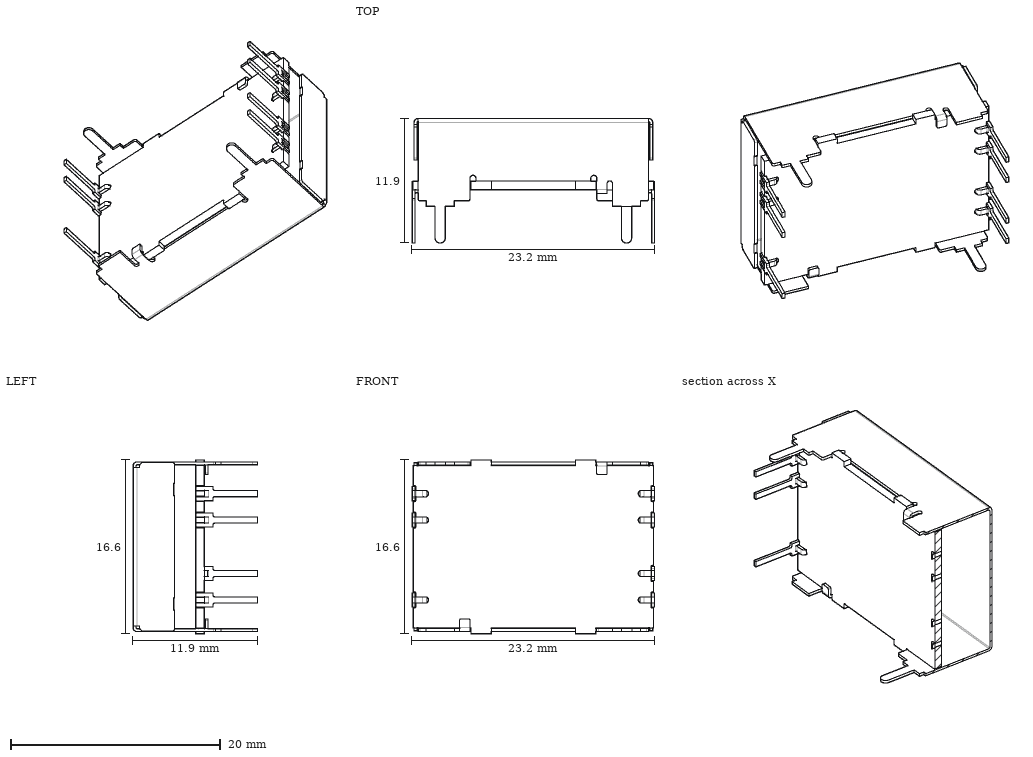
import cadquery as cq


sheet = 0.3
inner_bend = 0.1
outer_bend = inner_bend + sheet

shell_back = 11.9
shell_height = 16.21
top_wall_z = (shell_height / 2 - sheet, shell_height / 2)
wall_width = 22.0
flap_span = 22.8
flap_height = 16.05
flap_front = 7.92
flap_bend_height = 15.15
flap_bend_front = 11.3
flap_front_radius = 0.2
flap_back_chamfer = 0.23
flap_notch_depth = 0.1
flap_notch_width = 1.15
flap_notch_z = 5.47

board_width = 22.93
board_height = 15.47
board_front = 5.1
board_thickness = 0.83
board_back = board_front + board_thickness
board_tab_width = 1.97
board_tab_inner_x = 4.0
board_tab_x = board_tab_inner_x + board_tab_width / 2
board_span_over_tabs = 16.6

leg_inner_x = 6.05
leg_front = 4.03
leg_corner_radius = 0.19
foot_inner_x = 7.55
foot_outer_x = 10.24
foot_front = 3.52
relief_width = 0.55
relief_tip = 6.46
ground_pin_width = 1.0
ground_pin_x = (foot_inner_x + foot_outer_x) / 2
tab_width = 1.0
slit_inner_x = leg_inner_x + tab_width
tab_front = 4.72
tab_tip_z = 6.88
tab_tip_radius = 0.15

terminal_outer_x = 11.58
terminal_inner_x = terminal_outer_x - sheet
left_terminal_z = (5.07, 2.55, -5.07)
right_terminal_z = (5.07, 2.55, -2.55, -5.07)
terminal_plate_width = 1.37
terminal_plate_front = 4.25
terminal_prong_back = 5.88
terminal_pin_width = 0.6
terminal_root_radius = 0.16
tongue_bend_start = board_front - outer_bend
tongue_front = board_front - sheet
tongue_tip_x = 10.17
solder_hole_radius = 0.3
solder_hole_x = 10.3
board_notch_x = 11.2
board_notch_width = 1.53
board_notch_radius = 0.15
board_key_width = 0.46


def block(x_range, y_range, z_range):
    """Box between two limits along each axis."""
    size = [high - low for low, high in (x_range, y_range, z_range)]
    corner = cq.Vector(x_range[0], y_range[0], z_range[0])
    return cq.Workplane("XY").box(*size, centered=False).translate(corner)


def centered(width, middle=0.0):
    """Limits of a width centred on a given place."""
    return (middle - width / 2, middle + width / 2)


def wall_channel():
    """Top wall, back and bottom wall, down to the back face of the board."""
    outer = block(centered(wall_width), (board_back, shell_back), centered(shell_height))
    outer = outer.edges("|X and >Y").fillet(outer_bend)
    inner_height = shell_height - 2 * sheet
    inner = block(centered(wall_width), (board_back, shell_back - sheet), centered(inner_height))
    inner = inner.edges("|X and >Y").fillet(inner_bend)
    return outer.cut(inner)


def flap_channel():
    """Two side flaps bent from the back, relieved at the corners and notched in front."""
    outer = block(centered(flap_span), (flap_front, shell_back), centered(flap_height))
    outer = outer.edges("|Z and >Y").fillet(outer_bend)
    inner_span = flap_span - 2 * sheet
    inner = block(centered(inner_span), (flap_front, shell_back - sheet), centered(flap_height))
    inner = inner.edges("|Z and >Y").fillet(inner_bend)

    outline = block(centered(flap_span), (flap_front, flap_bend_front), centered(flap_height))
    outline = outline.edges("|X and <Y").fillet(flap_front_radius)
    outline = outline.edges("|X and >Y").chamfer(flap_back_chamfer)
    bend = block(centered(flap_span), (flap_bend_front, shell_back), centered(flap_bend_height))
    channel = outer.cut(inner).intersect(outline.union(bend))

    notch_y = (flap_front, flap_front + flap_notch_depth)
    for z in (-flap_notch_z, flap_notch_z):
        channel = channel.cut(block(centered(flap_span), notch_y, centered(flap_notch_width, z)))
    return channel


def round_strip(width, middle_x, straight_end, tip, z_range):
    """Strip along Y from a straight end to a half-round tip."""
    radius = width / 2
    centre_y = tip - radius if tip > straight_end else tip + radius
    strip_y = sorted((straight_end, centre_y))
    strip = block(centered(width, middle_x), strip_y, z_range)
    end = cq.Workplane("XY").circle(radius).extrude(z_range[1] - z_range[0])
    return strip.union(end.translate((middle_x, centre_y, z_range[0])))


def leg(inner_x):
    """Flat leg of the top wall at +X, with its stepped foot."""
    plate = block((inner_x, wall_width / 2), (leg_front, board_back), top_wall_z)
    plate = plate.edges("|Z and <Y").fillet(leg_corner_radius)
    foot = block((foot_inner_x, foot_outer_x), (foot_front, board_back), top_wall_z)
    return plate.union(foot)


def leg_with_pin():
    """Leg drawn out into a round-ended ground pin."""
    pin = round_strip(ground_pin_width, ground_pin_x, foot_front, 0, top_wall_z)
    return leg(leg_inner_x).union(pin)


def bent_tab():
    """Strip of the top wall bent inward in front of the board."""
    strip_x = (leg_inner_x, slit_inner_x)
    wall_outside, wall_inside = top_wall_z[1], top_wall_z[0]
    outer = block(strip_x, (tab_front, board_back), (tab_tip_z, wall_outside))
    outer = outer.edges("|X and <Y and >Z").fillet(outer_bend)
    inner = block(strip_x, (tab_front + sheet, board_back), (tab_tip_z, wall_inside))
    inner = inner.edges("|X and <Y and >Z").fillet(inner_bend)
    return outer.cut(inner).edges("|Y and <Z").fillet(tab_tip_radius)


def leg_with_tab():
    """Leg parted from its bent tab by a round-ended slit."""
    slit_width = foot_inner_x - slit_inner_x
    slit_x = (slit_inner_x + foot_inner_x) / 2
    slit = round_strip(slit_width, slit_x, foot_front, board_back, top_wall_z)
    return leg(slit_inner_x).cut(slit).union(bent_tab())


def wall_legs():
    """Both legs of the top wall; the bottom wall has the same pair turned half round Y."""
    top_legs = leg_with_pin().mirror("YZ").union(leg_with_tab())
    return top_legs.union(top_legs.rotate((0, 0, 0), (0, 1, 0), 180))


def shell():
    """Back, walls, flaps and legs, with round-ended reliefs inside the legs."""
    body = wall_channel().union(flap_channel()).union(wall_legs())
    relief_x = leg_inner_x - relief_width / 2
    for x in (-relief_x, relief_x):
        body = body.cut(round_strip(relief_width, x, board_back, relief_tip, centered(shell_height)))
    return body


def board():
    """Circuit board with locking tabs and, at each terminal, an edge notch, a key and a hole."""
    thickness = (board_front, board_back)
    body = block(centered(board_width), thickness, centered(board_height))
    for x in (-board_tab_x, board_tab_x):
        body = body.union(block(centered(board_tab_width, x), thickness, centered(board_span_over_tabs)))

    edge_x = board_width / 2
    notch = block((board_notch_x, edge_x), thickness, centered(board_notch_width))
    notch = notch.edges("|Y and <X").fillet(board_notch_radius)
    key = block((board_notch_x, edge_x), thickness, centered(board_key_width))
    hole = cq.Workplane("XZ").circle(solder_hole_radius).extrude(-board_thickness)
    hole = hole.translate((solder_hole_x, board_front, 0))
    return body.cut(at_terminals(notch.cut(key).union(hole)))


def terminal():
    """Terminal at +X: a forked plate, a straight pin and a tongue bent over and into the board."""
    plate_x = (terminal_inner_x, terminal_outer_x)
    middle_x = sum(plate_x) / 2
    plate = block(plate_x, (terminal_plate_front, terminal_prong_back), centered(terminal_plate_width))
    pin = block(plate_x, (0, tongue_bend_start), centered(terminal_pin_width))
    blank = plate.union(pin)
    for z in centered(terminal_pin_width):
        root = cq.selectors.NearestToPointSelector((middle_x, terminal_plate_front, z))
        blank = blank.edges("|X").edges(root).fillet(terminal_root_radius)
    window_y = (tongue_bend_start, terminal_prong_back)
    blank = blank.cut(block(plate_x, window_y, centered(terminal_pin_width)))

    tongue = (
        cq.Workplane("XY")
        .moveTo(terminal_outer_x, tongue_bend_start)
        .radiusArc((terminal_outer_x - outer_bend, board_front), -outer_bend)
        .lineTo(tongue_tip_x + outer_bend, board_front)
        .radiusArc((tongue_tip_x + sheet, board_front + inner_bend), -inner_bend)
        .lineTo(tongue_tip_x + sheet, board_back)
        .lineTo(tongue_tip_x, board_back)
        .lineTo(tongue_tip_x, tongue_front + outer_bend)
        .radiusArc((tongue_tip_x + outer_bend, tongue_front), -outer_bend)
        .lineTo(terminal_inner_x - inner_bend, tongue_front)
        .radiusArc((terminal_inner_x, tongue_bend_start), inner_bend)
        .close()
        .extrude(terminal_pin_width / 2, both=True)
    )
    return blank.union(tongue)


def at_terminals(feature):
    """Copies of a feature made at +X, placed at every terminal on both sides of the board."""
    right = [feature.translate((0, 0, z)) for z in right_terminal_z]
    left = [feature.mirror("YZ").translate((0, 0, z)) for z in left_terminal_z]
    copies = cq.Workplane("XY")
    for copy in right + left:
        copies = copies.union(copy)
    return copies


result = shell().union(board()).union(at_terminals(terminal()))